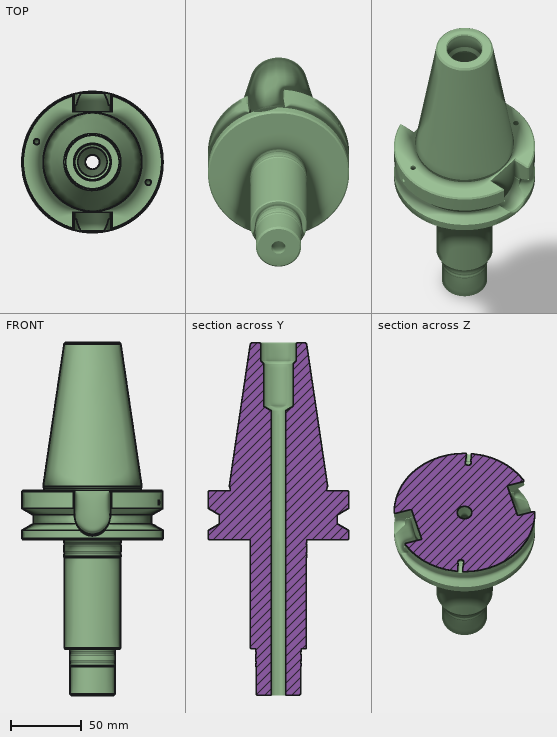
import cadquery as cq
import math


total_height = 249.8
gauge_height = 148.1
flange_top = 145.1
flange_bottom = 110.2
body_bottom = 33.0

gauge_radius = 35.0
taper_rate = 7 / 24
taper_end_radius = gauge_radius - (total_height - gauge_height) * taper_rate / 2
taper_end_chamfer = 1.2
neck_radius = 34.5
neck_chamfer_height = 1.5

flange_radius = 50.0
rim_chamfer = 1.0
v_radius = 42.0
v_flank_angle = 30
v_flank_height = (flange_radius - v_radius) * math.tan(math.radians(v_flank_angle))
v_top = 132.5
v_bottom = 117.0

body_radius = 20.0
body_chamfer = 0.7
tip_radius = 16.0
tip_chamfer = 1.2
collar_step = 0.2
collar_length = 11.7
collar_taper_height = 0.7
ring_groove_starts = (1.5, 8.0)
ring_groove_width = 2.7
ring_groove_flank = 1.0

bore_radius = 12.5
bore_chamfer = 0.7
bore_depth = 13.0
core_radius = 20.7 / 2
core_depth = 45.0
drill_half_angle = 59
seat_half_angle = 45
through_radius = 5.0

slot_width = 25.7
slot_half_width = slot_width / 2
slot_end_radius = 12.5
slot_end_height = 126.6
slot_floor = 35.5
slot_corner_fillet = 0.5
slot_chamfer = 1.0
slot_end_chamfer = 1.2

coolant_angles = (160, 340)
coolant_circle_radius = 42.0
coolant_radius = 2.0
screw_radius = 1.62
screw_height = 136.6


def collar_profile(top, radius):
    """Outline points down a grooved collar that ends on a cylinder of the given radius."""
    outer = radius + collar_step
    points = [(outer, top)]
    for start in ring_groove_starts:
        groove_top = top - start
        groove_bottom = groove_top - ring_groove_width
        points += [
            (outer, groove_top),
            (radius, groove_top - ring_groove_flank),
            (radius, groove_bottom + ring_groove_flank),
            (outer, groove_bottom),
        ]
    collar_end = top - collar_length
    points += [(outer, collar_end), (radius, collar_end - collar_taper_height)]
    return points


def revolve_profile(points):
    """Solid of revolution about Z from (radius, height) points."""
    return cq.Workplane("XZ").polyline(points).close().revolve(360, (0, 0), (0, 1))


def make_body():
    """Revolved outer shape, from the small end of the taper down to the tip."""
    taper = [
        (0, total_height),
        (taper_end_radius - taper_end_chamfer, total_height),
        (taper_end_radius, total_height - taper_end_chamfer),
        (gauge_radius, gauge_height),
        (neck_radius, gauge_height - neck_chamfer_height),
        (neck_radius, flange_top),
    ]
    flange = [
        (flange_radius - rim_chamfer, flange_top),
        (flange_radius, flange_top - rim_chamfer),
        (flange_radius, v_top),
        (v_radius, v_top - v_flank_height),
        (v_radius, v_bottom + v_flank_height),
        (flange_radius, v_bottom),
        (flange_radius, flange_bottom + rim_chamfer),
        (flange_radius - rim_chamfer, flange_bottom),
    ]
    body_end = [
        (body_radius, body_bottom + body_chamfer),
        (body_radius - body_chamfer, body_bottom),
    ]
    tip_end = [
        (tip_radius, tip_chamfer),
        (tip_radius - tip_chamfer, 0),
        (0, 0),
    ]
    return revolve_profile(
        taper
        + flange
        + collar_profile(flange_bottom, body_radius)
        + body_end
        + collar_profile(body_bottom, tip_radius)
        + tip_end
    )


def make_bore():
    """Cutter for the stepped bore that runs through the whole length."""
    seat_top = total_height - bore_depth
    seat_height = (bore_radius - core_radius) / math.tan(math.radians(seat_half_angle))
    core_bottom = total_height - core_depth
    cone_height = (core_radius - through_radius) / math.tan(math.radians(drill_half_angle))
    return revolve_profile([
        (0, total_height),
        (bore_radius + bore_chamfer, total_height),
        (bore_radius, total_height - bore_chamfer),
        (bore_radius, seat_top),
        (core_radius, seat_top - seat_height),
        (core_radius, core_bottom),
        (through_radius, core_bottom - cone_height),
        (through_radius, 0),
        (0, 0),
    ])


def make_slot():
    """Cutter for the drive slot on the -Y side: straight walls above a round lower end."""
    depth = flange_radius - slot_floor
    wall_height = flange_top - slot_end_height
    walls = (
        cq.Workplane("XZ", origin=(0, -slot_floor, slot_end_height + wall_height / 2))
        .rect(slot_width, wall_height)
        .extrude(depth)
        .faces(">Y")
        .edges("|Z")
        .fillet(slot_corner_fillet)
    )
    round_end = (
        cq.Workplane("XZ", origin=(0, -slot_floor, slot_end_height))
        .circle(slot_end_radius)
        .extrude(depth)
    )
    return walls.union(round_end).union(make_slot_chamfers())


def make_slot_chamfers():
    """Cutter that breaks the slot edges on the flange top, the rim and the round end."""
    chamfered_half_width = slot_half_width + slot_chamfer
    top_break = (
        cq.Workplane("XZ", origin=(0, -slot_floor, flange_top))
        .moveTo(-chamfered_half_width, 0)
        .lineTo(chamfered_half_width, 0)
        .lineTo(slot_half_width, -slot_chamfer)
        .lineTo(-slot_half_width, -slot_chamfer)
        .close()
        .extrude(flange_radius - slot_floor)
    )
    rim_y = math.sqrt(flange_radius**2 - slot_half_width**2)
    rim_break = (
        cq.Workplane("XY", origin=(0, -rim_y, v_top))
        .moveTo(-chamfered_half_width, 0)
        .lineTo(chamfered_half_width, 0)
        .lineTo(slot_half_width, slot_chamfer)
        .lineTo(-slot_half_width, slot_chamfer)
        .close()
        .extrude(flange_top - v_top)
    )
    end_break = (
        cq.Workplane("XZ", origin=(0, -flange_radius + slot_end_chamfer, slot_end_height))
        .circle(slot_end_radius)
        .workplane(offset=slot_end_chamfer)
        .circle(slot_end_radius + slot_end_chamfer)
        .loft()
    )
    return top_break.union(rim_break).union(end_break)


def make_coolant_holes(angle):
    """Axial coolant hole and the radial screw hole that runs into it, at one angle."""
    hole_bottom = screw_height - coolant_radius
    drill_point = hole_bottom - coolant_radius / math.tan(math.radians(drill_half_angle))
    axial = revolve_profile([
        (0, flange_top),
        (coolant_radius, flange_top),
        (coolant_radius, hole_bottom),
        (0, drill_point),
    ]).translate((coolant_circle_radius, 0, 0))
    radial = (
        cq.Workplane("YZ", origin=(coolant_circle_radius, 0, screw_height))
        .circle(screw_radius)
        .extrude(flange_radius - coolant_circle_radius)
    )
    return axial.union(radial).rotate((0, 0, 0), (0, 0, 1), angle)


result = make_body().cut(make_bore())
for turn in (0, 180):
    result = result.cut(make_slot().rotate((0, 0, 0), (0, 0, 1), turn))
for angle in coolant_angles:
    result = result.cut(make_coolant_holes(angle))